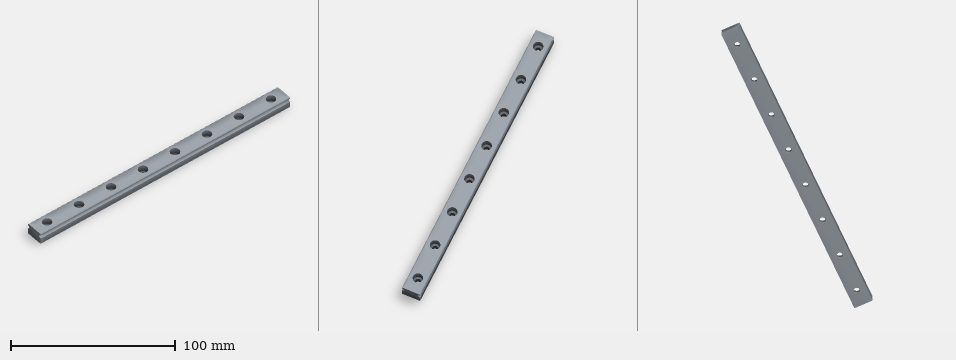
import cadquery as cq

length = 195.0
width = 12.0
height = 8.0

top_chamfer = 0.49
groove_top = 6.8
groove_root = 5.5
groove_bottom = 4.0
groove_depth = 1.5
groove_bulge = 0.3

hole_count = 8
hole_end_distance = 10.0
hole_diameter = 3.5
counterbore_diameter = 6.5
counterbore_depth = 4.5
hole_pitch = (length - 2 * hole_end_distance) / (hole_count - 1)


def make_rail():
    """Extrude the grooved section along Y, centred on the origin in X and Y."""
    half_width = width / 2
    root_x = half_width - groove_depth
    half_section = (
        cq.Workplane("XZ")
        .lineTo(half_width, 0)
        .lineTo(half_width, groove_bottom)
        .lineTo(root_x, groove_root)
        .sagittaArc((half_width, groove_top), groove_bulge)
        .lineTo(half_width, height - top_chamfer)
        .lineTo(half_width - top_chamfer, height)
        .lineTo(0, height)
        .close()
        .extrude(length / 2, both=True)
    )
    return half_section.union(half_section.mirror("YZ")).clean()


def cut_mounting_holes(rail):
    """Cut the evenly spaced counterbored holes from the top face."""
    first_y = -length / 2 + hole_end_distance
    centres = [(0, first_y + i * hole_pitch) for i in range(hole_count)]
    return (
        rail.faces(">Z")
        .workplane(origin=(0, 0, height))
        .pushPoints(centres)
        .cboreHole(hole_diameter, counterbore_diameter, counterbore_depth)
    )


result = cut_mounting_holes(make_rail())